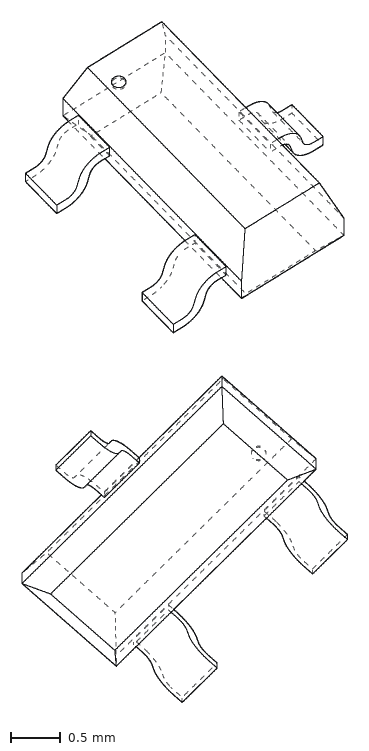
import cadquery as cq
import math

BODY_LENGTH = 2.92
BODY_WIDTH = 1.3
BODY_HEIGHT = 1.12
BAND_BOTTOM = 0.29
BAND_TOP = 0.575
TOP_INSET_X = 0.172
TOP_INSET_Y = 0.178
BOTTOM_INSET_X = 0.2
BOTTOM_INSET_Y = 0.207

SPAN = 2.64
LEAD_WIDTH = 0.51
LEAD_THICKNESS = 0.14
LEAD_TOP = 0.558
LEAD_PITCH = 1.905
FOOT_LENGTH = 0.12
BEND_ANGLE = math.radians(75)
INNER_RADIUS = 0.14
OUTER_RADIUS = INNER_RADIUS + LEAD_THICKNESS

MARKER_DIAMETER = 0.145
MARKER_DEPTH = 0.03
MARKER_X = -LEAD_PITCH / 2
MARKER_Y = -0.335


def tapered_block(z_start, z_end, inset_x, inset_y):
    """Full-size rectangle at z_start, lofted to an inset rectangle at z_end."""
    return (
        cq.Workplane("XY", origin=(0, 0, z_start))
        .rect(BODY_LENGTH, BODY_WIDTH)
        .workplane(offset=z_end - z_start)
        .rect(BODY_LENGTH - 2 * inset_x, BODY_WIDTH - 2 * inset_y)
        .loft(ruled=True)
    )


def make_marker():
    return (
        cq.Workplane("XY", origin=(MARKER_X, MARKER_Y, BODY_HEIGHT - MARKER_DEPTH))
        .circle(MARKER_DIAMETER / 2)
        .extrude(MARKER_DEPTH)
    )


def make_housing(marker):
    band = (
        cq.Workplane("XY", origin=(0, 0, BAND_BOTTOM))
        .rect(BODY_LENGTH, BODY_WIDTH)
        .extrude(BAND_TOP - BAND_BOTTOM)
    )
    upper = tapered_block(BAND_TOP, BODY_HEIGHT, TOP_INSET_X, TOP_INSET_Y)
    lower = tapered_block(BAND_BOTTOM, 0, BOTTOM_INSET_X, BOTTOM_INSET_Y)
    return band.union(upper).union(lower).cut(marker)


def make_lead():
    """Lead centred on X = 0 that runs from the +Y side of the housing to its foot."""
    sine = math.sin(BEND_ANGLE)
    rise = 1 - math.cos(BEND_ANGLE)
    lead_bottom = LEAD_TOP - LEAD_THICKNESS
    y_root = BODY_WIDTH / 2
    y_tip = SPAN / 2

    leg_height = lead_bottom - (INNER_RADIUS + OUTER_RADIUS) * rise
    leg_run = leg_height / math.tan(BEND_ANGLE)
    foot_start = y_tip - FOOT_LENGTH
    shoulder_end = foot_start - (INNER_RADIUS + OUTER_RADIUS) * sine - leg_run

    profile = (
        cq.Workplane("YZ", origin=(-LEAD_WIDTH / 2, 0, 0))
        .moveTo(y_root, LEAD_TOP)
        .lineTo(shoulder_end, LEAD_TOP)
        .tangentArcPoint((shoulder_end + OUTER_RADIUS * sine, LEAD_TOP - OUTER_RADIUS * rise), relative=False)
        .lineTo(foot_start - INNER_RADIUS * sine, LEAD_THICKNESS + INNER_RADIUS * rise)
        .tangentArcPoint((foot_start, LEAD_THICKNESS), relative=False)
        .lineTo(y_tip, LEAD_THICKNESS)
        .lineTo(y_tip, 0)
        .lineTo(foot_start, 0)
        .tangentArcPoint((foot_start - OUTER_RADIUS * sine, OUTER_RADIUS * rise), relative=False)
        .lineTo(shoulder_end + INNER_RADIUS * sine, lead_bottom - INNER_RADIUS * rise)
        .tangentArcPoint((shoulder_end, lead_bottom), relative=False)
        .lineTo(y_root, lead_bottom)
        .close()
    )
    return profile.extrude(LEAD_WIDTH)


def place_lead(x, turn):
    """Turn a lead about the Z axis, then shift it along X."""
    return make_lead().rotate((0, 0, 0), (0, 0, 1), turn).translate((x, 0, 0))


marker = make_marker()
housing = make_housing(marker)

lead_places = [(0, 0), (-LEAD_PITCH / 2, 180), (LEAD_PITCH / 2, 180)]
leads = []
for x, turn in lead_places:
    leads.append(place_lead(x, turn).val())

result = cq.Compound.makeCompound([housing.val(), marker.val(), *leads])